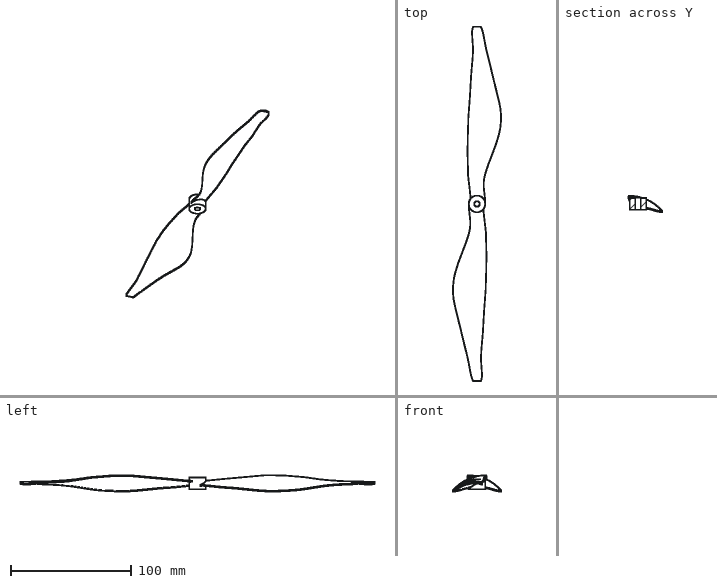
import cadquery as cq
import math

hub_diameter = 14.0
hub_height = 10.0
bore_diameter = 4.5

span = 295.0
blade_height = 14.0
edge_thickness = 1.0
top_camber = 0.11
bottom_camber = 0.04

tip_radius = span / 2
max_rise = blade_height / 2

blade_sections = [
    (0.0, -6.0, 6.0, 2.7),
    (16.0, -6.8, 5.5, 3.2),
    (26.5, -7.7, 7.5, 4.0),
    (37.2, -8.0, 11.2, 5.0),
    (48.0, -8.0, 15.3, 6.2),
    (58.7, -7.7, 18.5, max_rise),
    (69.3, -7.5, 20.0, 6.8),
    (80.0, -6.8, 19.5, 6.2),
    (90.5, -6.0, 17.0, 5.0),
    (101.2, -5.3, 14.5, 3.2),
    (117.0, -4.0, 10.5, 1.5),
    (133.3, -3.5, 6.8, 0.5),
    (tip_radius, -3.2, 3.2, edge_thickness / 2),
]


def blade_section(radius, leading_x, trailing_x, rise):
    """Closed airfoil wire in the plane Y = radius, high at the leading edge."""
    lead_top = cq.Vector(leading_x, radius, rise)
    lead_bottom = cq.Vector(leading_x, radius, rise - edge_thickness)
    trail_top = cq.Vector(trailing_x, radius, edge_thickness - rise)
    trail_bottom = cq.Vector(trailing_x, radius, -rise)

    chord_x = trailing_x - leading_x
    chord_z = edge_thickness - 2 * rise
    chord = math.hypot(chord_x, chord_z)
    normal = cq.Vector(-chord_z / chord, 0, chord_x / chord)
    top_middle = (lead_top + trail_top) * 0.5 + normal * (top_camber * chord)
    bottom_middle = (lead_bottom + trail_bottom) * 0.5 + normal * (bottom_camber * chord)

    return cq.Wire.assembleEdges([
        cq.Edge.makeThreePointArc(lead_top, top_middle, trail_top),
        cq.Edge.makeLine(trail_top, trail_bottom),
        cq.Edge.makeThreePointArc(trail_bottom, bottom_middle, lead_bottom),
        cq.Edge.makeLine(lead_bottom, lead_top),
    ])


def make_blade():
    """Twisted blade along +Y, lofted smoothly from the hub axis to the tip."""
    wires = [blade_section(*section) for section in blade_sections]
    return cq.Workplane(obj=cq.Solid.makeLoft(wires))


def cylinder(diameter):
    """Cylinder of hub height centred on the hub axis."""
    return cq.Workplane("XY").circle(diameter / 2).extrude(hub_height / 2, both=True)


blade = make_blade()
opposite_blade = blade.rotate((0, 0, 0), (0, 0, 1), 180)
result = cylinder(hub_diameter).union(blade).union(opposite_blade).cut(cylinder(bore_diameter))